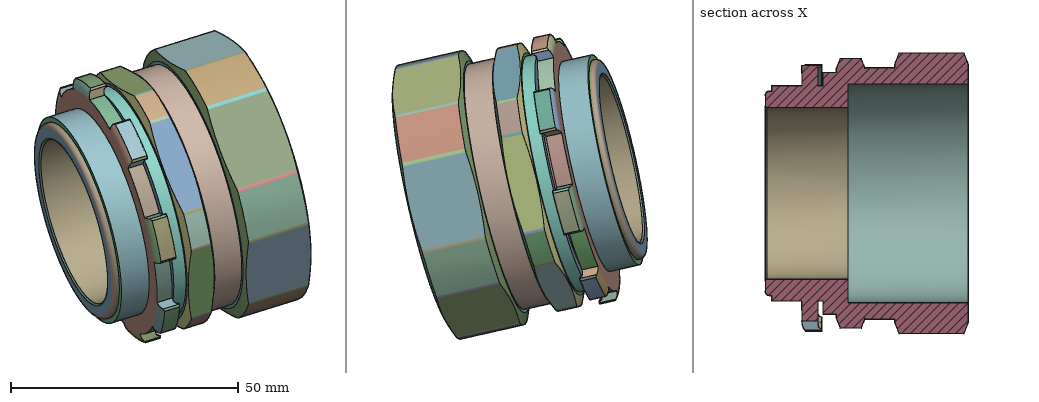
import cadquery as cq
import math


THREAD_FRONT = 1.4
LOCKNUT_FRONT = 8.05
LOCKNUT_DISC_BACK = 11.6
FLANGE_FRONT = 12.65
BODY_HEX_FRONT = 15.55
BODY_HEX_BACK = 22.0
NUT_FRONT = 28.4
NUT_BACK = 44.6

LIP_DIAMETER = 45.0
THREAD_DIAMETER = 47.3
FLANGE_DIAMETER = 53.1
COLLAR_DIAMETER = 55.3
LIP_FILLET = 1.0

BORE_DIAMETER = 37.7
SOCKET_DIAMETER = 48.0
SOCKET_START = 18.2
BORE_CHAMFER = 0.4

HEX_CHAMFER_ANGLE = 20.0
BODY_HEX_FLATS = 55.2
BODY_HEX_CORNERS = 59.3
BODY_HEX_CHAMFER = 0.85
BODY_HEX_EDGE_FILLET = 1.85
NUT_FLATS = 58.55
NUT_CORNERS = 61.8
NUT_CHAMFER = 0.9
NUT_EDGE_FILLET = 2.5

LOCKNUT_DISC_DIAMETER = 56.2
TOOTH_COUNT = 8
TOOTH_FIRST_ANGLE = 30.8
TOOTH_WIDTH = 10.5
TOOTH_TIP_RADIUS = 30.4
TOOTH_BACK = 12.5
TOOTH_BEND_DEPTH = 0.85
TOOTH_TIP_THICKNESS = 0.6
TOOTH_SIDE_CHAMFER = 0.4
TOOTH_SLAB_MARGIN = 1.25


def revolve_about_y(profile):
    """Turn a closed (radius, Y) profile fully around the Y axis."""
    return profile.close().revolve(360, (0, 0, 0), (0, 1, 0))


def cylinder(diameter, y_start, y_end):
    """Solid cylinder along Y."""
    return cq.Workplane("XZ", origin=(0, y_start, 0)).circle(diameter / 2).extrude(y_start - y_end)


def chamfered_hexagon(flats, corners, y_start, y_end, chamfer, edge_fillet):
    """Hexagon with corners on Z, cut back to a circle, with conical chamfers on both ends."""
    length = y_end - y_start
    prism = (
        cq.Workplane("XZ", origin=(0, y_start, 0))
        .transformed(rotate=(0, 0, 90))
        .polygon(6, flats / math.cos(math.pi / 6))
        .extrude(-length)
        .intersect(cylinder(corners, y_start, y_end))
        .edges("|Y")
        .fillet(edge_fillet)
    )
    corner_radius = corners / 2
    end_radius = corner_radius - chamfer / math.tan(math.radians(HEX_CHAMFER_ANGLE))
    envelope = revolve_about_y(
        cq.Workplane("XY")
        .moveTo(0, y_start)
        .lineTo(end_radius, y_start)
        .lineTo(corner_radius, y_start + chamfer)
        .lineTo(corner_radius, y_end - chamfer)
        .lineTo(end_radius, y_end)
        .lineTo(0, y_end)
    )
    return prism.intersect(envelope)


def locknut_teeth():
    """Bent rim teeth, cut from one turned ring by straight-sided slabs."""
    disc_radius = LOCKNUT_DISC_DIAMETER / 2
    root_radius = THREAD_DIAMETER / 2
    inner_radius = TOOTH_TIP_RADIUS - TOOTH_TIP_THICKNESS
    inner_bend = TOOTH_BACK - LOCKNUT_DISC_BACK
    ring = revolve_about_y(
        cq.Workplane("XY")
        .moveTo(root_radius, LOCKNUT_FRONT)
        .lineTo(disc_radius, LOCKNUT_FRONT)
        .tangentArcPoint((TOOTH_TIP_RADIUS, LOCKNUT_FRONT + TOOTH_BEND_DEPTH), relative=False)
        .lineTo(TOOTH_TIP_RADIUS, TOOTH_BACK)
        .lineTo(inner_radius, TOOTH_BACK)
        .radiusArc((inner_radius - inner_bend, LOCKNUT_DISC_BACK), inner_bend)
        .lineTo(root_radius, LOCKNUT_DISC_BACK)
    )
    slab_inner = root_radius - TOOTH_SLAB_MARGIN
    half_width = TOOTH_WIDTH / 2
    side_end = math.sqrt(TOOTH_TIP_RADIUS**2 - half_width**2) - TOOTH_SIDE_CHAMFER
    slab_outer = TOOTH_TIP_RADIUS + TOOTH_SLAB_MARGIN
    chamfer_run = slab_outer - side_end
    slab = (
        cq.Workplane("XZ", origin=(0, LOCKNUT_FRONT, 0))
        .moveTo(slab_inner, -half_width)
        .lineTo(side_end, -half_width)
        .lineTo(slab_outer, -half_width + chamfer_run)
        .lineTo(slab_outer, half_width - chamfer_run)
        .lineTo(side_end, half_width)
        .lineTo(slab_inner, half_width)
        .close()
        .extrude(LOCKNUT_FRONT - TOOTH_BACK)
    )
    tooth = ring.intersect(slab)
    teeth = []
    for index in range(TOOTH_COUNT):
        angle = TOOTH_FIRST_ANGLE + index * 360 / TOOTH_COUNT
        teeth.append(tooth.rotate((0, 0, 0), (0, 1, 0), -angle))
    return teeth


def bore():
    """Front bore with a chamfered mouth, stepping out to the conduit socket."""
    bore_radius = BORE_DIAMETER / 2
    socket_radius = SOCKET_DIAMETER / 2
    return revolve_about_y(
        cq.Workplane("XY")
        .moveTo(0, 0)
        .lineTo(bore_radius + BORE_CHAMFER, 0)
        .lineTo(bore_radius, BORE_CHAMFER)
        .lineTo(bore_radius, SOCKET_START)
        .lineTo(socket_radius, SOCKET_START)
        .lineTo(socket_radius, NUT_BACK)
        .lineTo(0, NUT_BACK)
    )


body = cylinder(LIP_DIAMETER, 0, THREAD_FRONT).faces("<Y").edges().fillet(LIP_FILLET)
body = body.union(cylinder(THREAD_DIAMETER, THREAD_FRONT, BODY_HEX_FRONT))
body = body.union(cylinder(FLANGE_DIAMETER, FLANGE_FRONT, BODY_HEX_FRONT))
body = body.union(
    chamfered_hexagon(
        BODY_HEX_FLATS,
        BODY_HEX_CORNERS,
        BODY_HEX_FRONT,
        BODY_HEX_BACK,
        BODY_HEX_CHAMFER,
        BODY_HEX_EDGE_FILLET,
    )
)
body = body.union(cylinder(COLLAR_DIAMETER, BODY_HEX_BACK, NUT_FRONT))
body = body.union(
    chamfered_hexagon(NUT_FLATS, NUT_CORNERS, NUT_FRONT, NUT_BACK, NUT_CHAMFER, NUT_EDGE_FILLET)
)

body = body.union(cylinder(LOCKNUT_DISC_DIAMETER, LOCKNUT_FRONT, LOCKNUT_DISC_BACK))
for locknut_tooth in locknut_teeth():
    body = body.union(locknut_tooth)

result = body.cut(bore())